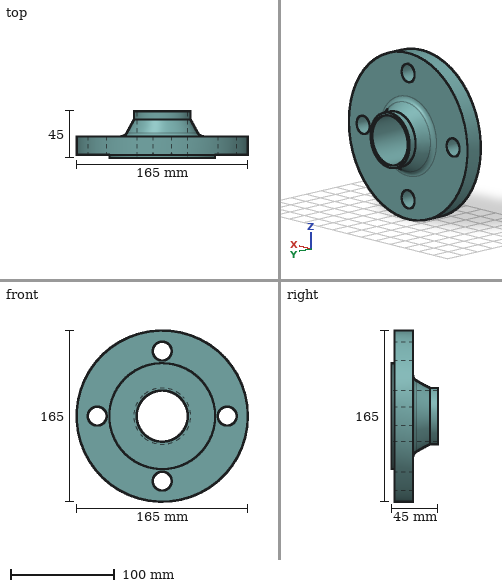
import cadquery as cq

flange_diameter = 165
flange_thickness = 18.0
face_diameter = 102.0
face_height = 3.0
total_length = 45.0
bore_diameter = 49.0
neck_diameter = 54.5
neck_straight_length = 8.0
hub_diameter = 72.0
hub_fillet = 6.0
bolt_circle_diameter = 125.0
bolt_hole_diameter = 18.0
bolt_count = 4

flange_back = face_height + flange_thickness
cone_end = total_length - neck_straight_length

half_section = (
    cq.Workplane("XY")
    .lineTo(face_diameter / 2, 0)
    .lineTo(face_diameter / 2, face_height)
    .lineTo(flange_diameter / 2, face_height)
    .lineTo(flange_diameter / 2, flange_back)
    .lineTo(hub_diameter / 2, flange_back)
    .lineTo(neck_diameter / 2, cone_end)
    .lineTo(neck_diameter / 2, total_length)
    .lineTo(0, total_length)
    .close()
)
body = half_section.revolve(360, (0, 0, 0), (0, 1, 0))

select_margin = 0.2
hub_root = cq.selectors.BoxSelector(
    (-hub_diameter, flange_back - select_margin, -hub_diameter),
    (hub_diameter, flange_back + select_margin, hub_diameter),
    boundingbox=True,
)
body = body.edges(hub_root).fillet(hub_fillet)

bore = cq.Workplane("XZ").circle(bore_diameter / 2).extrude(-total_length)
bolt_holes = (
    cq.Workplane("XZ")
    .polarArray(bolt_circle_diameter / 2, 0, 360, bolt_count)
    .circle(bolt_hole_diameter / 2)
    .extrude(-total_length)
)

result = body.cut(bore).cut(bolt_holes)